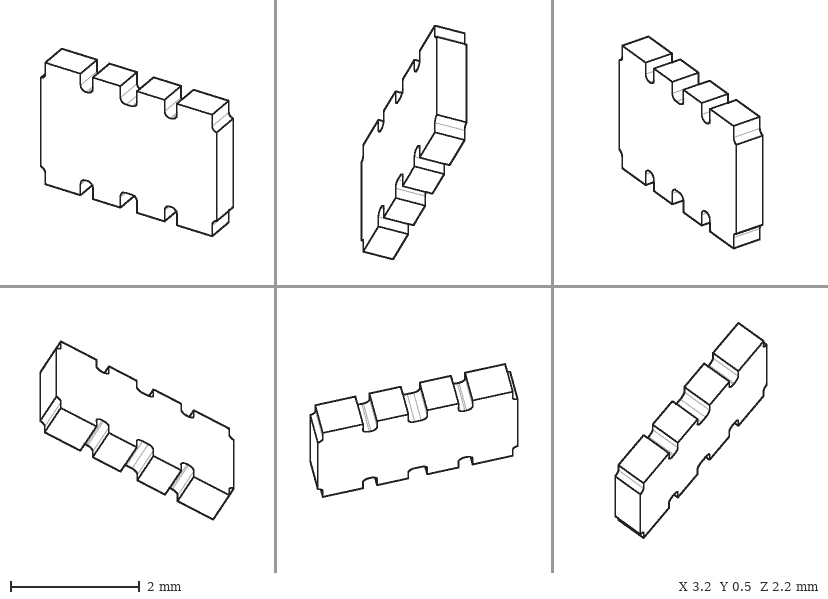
import cadquery as cq

length = 3.2
thickness = 0.5
height = 2.2

notch_depth = 0.3
notch_radius = 0.1
side_notch_width = 0.225
side_notch_offset = 0.765
middle_notch_width = 0.3
corner_notch_width = 0.08


def notch_cutter(center_x, width, edge_sign):
    """Edge notch with rounded inner corners, open at the top (+1) or bottom (-1)."""
    return (
        cq.Workplane("XY")
        .box(width, thickness, 2 * notch_depth)
        .edges("|Y")
        .fillet(notch_radius)
        .translate((center_x, 0, edge_sign * height / 2))
    )


corner_offset = length / 2 - corner_notch_width + middle_notch_width / 2

notches = [
    (-corner_offset, middle_notch_width),
    (-side_notch_offset, side_notch_width),
    (0, middle_notch_width),
    (side_notch_offset, side_notch_width),
    (corner_offset, middle_notch_width),
]

result = cq.Workplane("XY").box(length, thickness, height)
for edge_sign in (-1, 1):
    for center_x, width in notches:
        result = result.cut(notch_cutter(center_x, width, edge_sign))